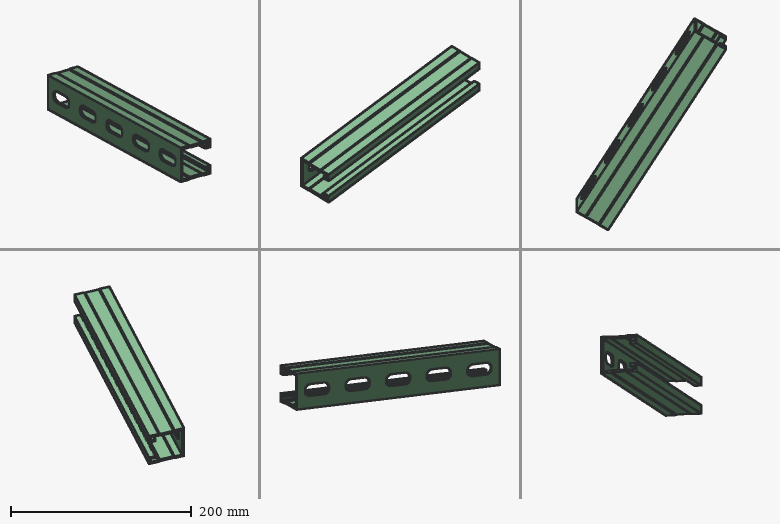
import cadquery as cq

length = 250.0
depth = 41.0
height = 41.3

thickness = 2.5
opening = 22.3
lip_return = 7.5

step_depth = 0.54
step_rim_width = 18.7
step_floor_width = 16.0

slot_count = 5
slot_pitch = 50.0
slot_length = 30.0
slot_width = 13.5

half_depth = depth / 2
half_height = height / 2
half_opening = opening / 2
web_inner_y = -half_depth + thickness
lip_inner_y = half_depth - thickness
lip_end_y = half_depth - lip_return
flange_inner_z = half_height - thickness


def step_points(z):
    """Corners of the pressed step on a flange face at height z, from -Y to +Y."""
    half_rim = step_rim_width / 2
    half_floor = step_floor_width / 2
    return [
        (-half_rim, z),
        (-half_floor, z - step_depth),
        (half_floor, z - step_depth),
        (half_rim, z),
    ]


def make_upper_half():
    """Extruded upper half of the section: half the web, one flange and its lip."""
    outline = [
        (-half_depth, 0),
        (-half_depth, half_height),
        *step_points(half_height),
        (half_depth, half_height),
        (half_depth, half_opening),
        (lip_end_y, half_opening),
        (lip_end_y, half_opening + thickness),
        (lip_inner_y, half_opening + thickness),
        (lip_inner_y, flange_inner_z),
        *reversed(step_points(flange_inner_z)),
        (web_inner_y, flange_inner_z),
        (web_inner_y, 0),
    ]
    return cq.Workplane("YZ").polyline(outline).close().extrude(length / 2, both=True)


def make_channel():
    """Full channel, symmetric about the XY plane."""
    upper_half = make_upper_half()
    return upper_half.union(upper_half.mirror("XY")).clean()


def make_slots():
    """Row of round-ended slot cutters passing through the web only."""
    return (
        cq.Workplane("XZ", origin=(0, web_inner_y, 0))
        .rarray(slot_pitch, 1, slot_count, 1)
        .slot2D(slot_length, slot_width)
        .extrude(thickness)
    )


result = make_channel().cut(make_slots())